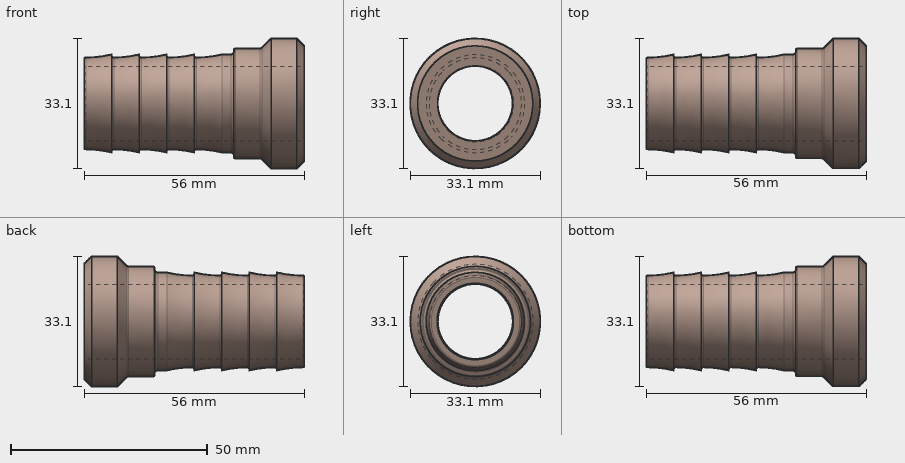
import cadquery as cq
import math

total_length = 56.0
barb_pitch = 7.0
barb_count = 5
shoulder_start = 38.1
flange_start = 47.55
flange_chamfer = 1.9

bore_diameter = 19.0
crest_radius = 25.0 / 2
collar_radius = 28.0 / 2
flange_radius = 33.1 / 2

barb_height = 0.8
barb_root_fillet = 0.5
nose_round = 0.45
bore_chamfer = 0.2
shoulder_fillet = 0.85
collar_round = 0.4
cone_fillet = 0.7

root_radius = crest_radius - barb_height


def add_arc(profile, center, radius, start_angle, end_angle):
    """Add an arc to the profile from its current point."""
    middle_angle = (start_angle + end_angle) / 2
    points = [
        (center[0] + radius * math.cos(angle), center[1] + radius * math.sin(angle))
        for angle in (math.radians(middle_angle), math.radians(end_angle))
    ]
    return profile.threePointArc(*points)


def barb_flare(profile, start, end):
    """Add a hollow barb flank that leaves the root parallel to the axis."""
    run = end - start
    flare_radius = (run**2 + barb_height**2) / (2 * barb_height)
    end_angle = math.degrees(math.asin(run / flare_radius)) - 90
    return add_arc(profile, (start, root_radius + flare_radius), flare_radius, -90, end_angle)


profile = cq.Workplane("XY").moveTo(0, 0).lineTo(0, root_radius - nose_round)
profile = add_arc(profile, (nose_round, root_radius - nose_round), nose_round, 180, 90)
profile = barb_flare(profile, nose_round, barb_pitch)

for index in range(1, barb_count):
    step = index * barb_pitch
    fillet_end = step + barb_root_fillet
    fillet_center_radius = root_radius + barb_root_fillet
    profile = profile.lineTo(step, fillet_center_radius)
    profile = add_arc(profile, (fillet_end, fillet_center_radius), barb_root_fillet, 180, 270)
    profile = barb_flare(profile, fillet_end, step + barb_pitch)

fillet_start = shoulder_start - shoulder_fillet
profile = profile.lineTo(fillet_start, crest_radius)
profile = add_arc(profile, (fillet_start, crest_radius + shoulder_fillet), shoulder_fillet, -90, 0)
round_center = (shoulder_start + collar_round, collar_radius - collar_round)
profile = profile.lineTo(shoulder_start, round_center[1])
profile = add_arc(profile, round_center, collar_round, 180, 90)

cone_start = flange_start - (flange_radius - collar_radius)
blend_start = cone_start - cone_fillet * math.tan(math.radians(22.5))
profile = profile.lineTo(blend_start, collar_radius)
profile = add_arc(profile, (blend_start, collar_radius + cone_fillet), cone_fillet, -90, -45)

profile = (
    profile.lineTo(flange_start, flange_radius)
    .lineTo(total_length - flange_chamfer, flange_radius)
    .lineTo(total_length, flange_radius - flange_chamfer)
    .lineTo(total_length, 0)
    .close()
)
body = profile.revolve(360, (0, 0, 0), (1, 0, 0))

bore = cq.Workplane("YZ").circle(bore_diameter / 2).extrude(total_length)
mouth = (
    cq.Workplane("YZ")
    .circle(bore_diameter / 2 + bore_chamfer)
    .workplane(offset=bore_chamfer)
    .circle(bore_diameter / 2)
    .loft(ruled=True)
)
result = body.cut(bore).cut(mouth)